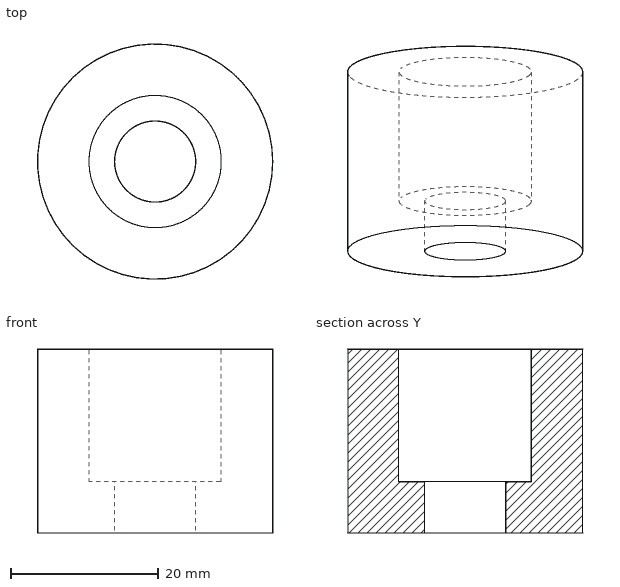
import cadquery as cq

outer_diameter = 32.0
height = 25.0
counterbore_diameter = 18.0
through_hole_diameter = 11.0

wall_thickness = (outer_diameter - counterbore_diameter) / 2
counterbore_depth = height - wall_thickness


def make_body():
    """Plain cylinder standing on the XY plane, axis along Z."""
    return cq.Workplane("XY").circle(outer_diameter / 2).extrude(height)


def cut_stepped_bore(body):
    """Coaxial through hole with a deep counterbore opening at the top face."""
    return body.faces(">Z").workplane().cboreHole(
        through_hole_diameter, counterbore_diameter, counterbore_depth
    )


result = cut_stepped_bore(make_body())